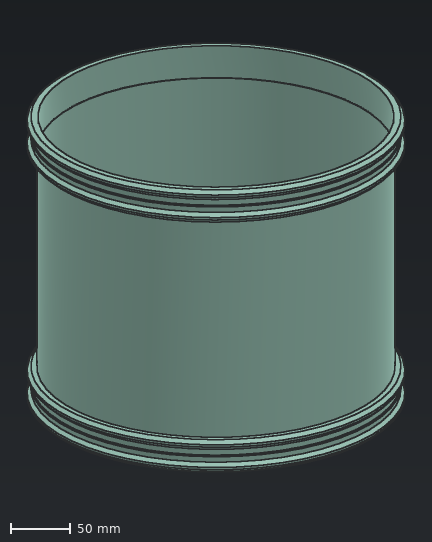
import cadquery as cq

TOTAL_HEIGHT = 259.0
LIP_DIAMETER = 318.5
BAND_DIAMETER = 311.7
TUBE_OUTER_DIAMETER = 302.0
BORE_DIAMETER = 300.0

COUPLING_HEIGHT = 29.5
LIP_LAND = 2.2
LIP_BEVEL = (LIP_DIAMETER - BAND_DIAMETER) / 2
BEAD_WIDTH = 1.3
BEAD_HEIGHT = 0.5

LIP_RADIUS = LIP_DIAMETER / 2
BAND_RADIUS = BAND_DIAMETER / 2
BEAD_RADIUS = BAND_RADIUS + BEAD_HEIGHT
BORE_RADIUS = BORE_DIAMETER / 2
TOP_LEVEL = TOTAL_HEIGHT / 2
SEAT_LEVEL = TOP_LEVEL - COUPLING_HEIGHT


def ring(outer_radius, bottom, height):
    """Plain ring around the common bore."""
    return (
        cq.Workplane("XY", origin=(0, 0, bottom))
        .circle(outer_radius)
        .circle(BORE_RADIUS)
        .extrude(height)
    )


def lip(bottom):
    """Outward lip with a short cylindrical land between two 45 degree bevels."""
    land_bottom = bottom + LIP_BEVEL
    land_top = land_bottom + LIP_LAND
    top = land_top + LIP_BEVEL
    profile = [
        (BORE_RADIUS, bottom),
        (BAND_RADIUS, bottom),
        (LIP_RADIUS, land_bottom),
        (LIP_RADIUS, land_top),
        (BAND_RADIUS, top),
        (BORE_RADIUS, top),
    ]
    return cq.Workplane("XZ").polyline(profile).close().revolve(360, (0, 0, 0), (0, 1, 0))


def make_coupling(bottom):
    """Band with a lip along each edge and a fine bead around its middle."""
    lip_height = LIP_LAND + 2 * LIP_BEVEL
    bead_bottom = bottom + (COUPLING_HEIGHT - BEAD_WIDTH) / 2
    return (
        ring(BAND_RADIUS, bottom, COUPLING_HEIGHT)
        .union(lip(bottom))
        .union(lip(bottom + COUPLING_HEIGHT - lip_height))
        .union(ring(BEAD_RADIUS, bead_bottom, BEAD_WIDTH))
    )


def make_flanged_tube():
    """Thin tube with a coupling formed at its lower end."""
    tube = ring(TUBE_OUTER_DIAMETER / 2, -TOP_LEVEL, TOP_LEVEL + SEAT_LEVEL)
    return tube.union(make_coupling(-TOP_LEVEL))


flanged_tube = make_flanged_tube()
upper_coupling = make_coupling(SEAT_LEVEL)

result = cq.Compound.makeCompound([flanged_tube.val(), upper_coupling.val()])